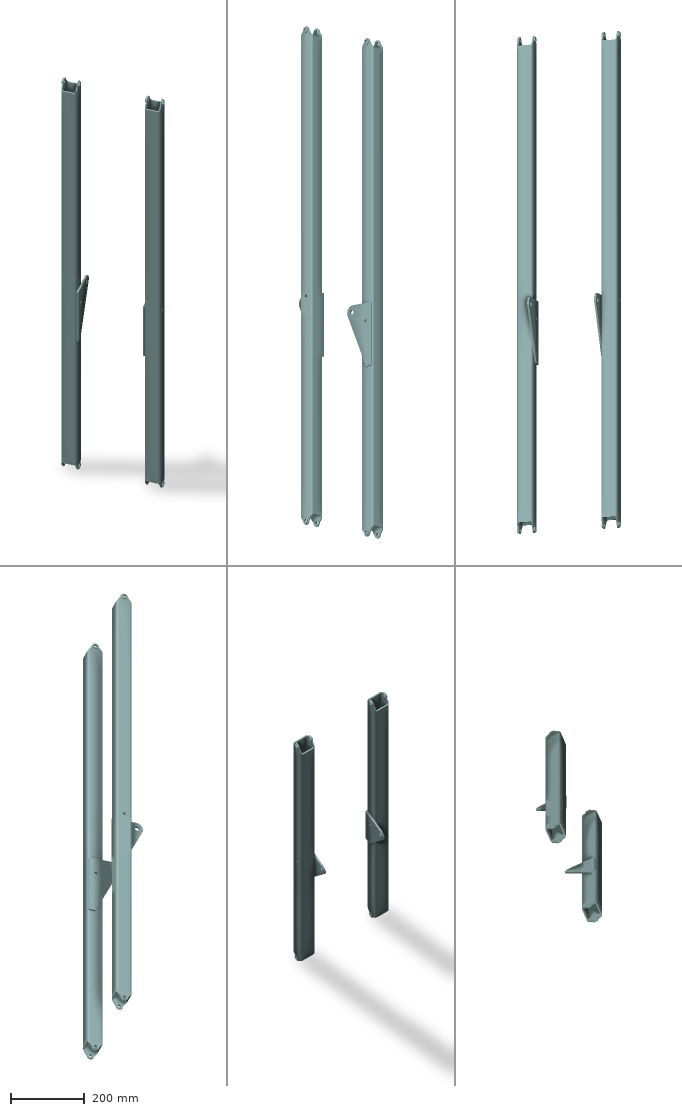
import cadquery as cq
overall_width = 289.0
overall_depth = 90.0
overall_length = 1370.0

bore_side = 37.0
wall = 3.7
corner_radius = 6.3
bore_radius = corner_radius - wall
tube_half = bore_side / 2 + wall

front_wall_length = 1315.0
ear_radius = 10.0
ear_hole_diameter = 8.9
boss_diameter = 15.0
boss_height = 3.0
ear_tip = overall_length / 2
ear_shoulder = front_wall_length / 2
ear_hole_z = ear_tip - ear_radius

post_x = overall_width / 2 - boss_height - tube_half

plate_thickness = 5.0
plate_top = -44.0
plate_bottom = -218.0
plate_front_setback = 2.0
plate_front = plate_front_setback - tube_half
plate_back = overall_depth - tube_half
plate_nose_bottom = -68.0
plate_slope_end = -1.0
plate_corner_radius = 19.0
plate_hole_diameter = 12.7
plate_hole_from_back = 16.0
plate_hole_from_top = 19.0

side_hole_diameter = 8.9
wall_hole_z = -56.0
plate_side_hole_z = -93.0


def x_cylinder(diameter, x_start, x_end, y, z):
    """Cylinder along X from x_start to x_end."""
    return (
        cq.Workplane("YZ", origin=(x_start, y, z))
        .circle(diameter / 2)
        .extrude(x_end - x_start)
    )


def rounded_bar(side, radius):
    """Full-length square bar along Z with rounded long edges."""
    bar = cq.Workplane("XY").rect(side, side).extrude(overall_length / 2, both=True)
    return bar.edges("|Z").fillet(radius)


def ear_outline():
    """Prism along X whose outline narrows at both ends to a rounded ear."""
    return (
        cq.Workplane("YZ")
        .moveTo(-tube_half, -ear_shoulder)
        .lineTo(-tube_half, ear_shoulder)
        .lineTo(-ear_radius, ear_hole_z)
        .threePointArc((0, ear_tip), (ear_radius, ear_hole_z))
        .lineTo(tube_half, ear_shoulder)
        .lineTo(tube_half, -ear_shoulder)
        .lineTo(ear_radius, -ear_hole_z)
        .threePointArc((0, -ear_tip), (-ear_radius, -ear_hole_z))
        .close()
        .extrude(tube_half, both=True)
    )


def eared_tube():
    """Square tube with a pair of bossed and drilled ears at each end."""
    tube = rounded_bar(2 * tube_half, corner_radius).cut(rounded_bar(bore_side, bore_radius))
    tube = tube.intersect(ear_outline())
    ear_height = ear_tip - ear_shoulder
    boss_face = tube_half + boss_height
    for end in (-1, 1):
        gap = cq.Workplane("XY").box(bore_side, 2 * tube_half, ear_height)
        tube = tube.cut(gap.translate((0, 0, end * (ear_shoulder + ear_height / 2))))
        for side in (-1, 1):
            boss = x_cylinder(
                boss_diameter, side * (tube_half - wall), side * boss_face, 0, end * ear_hole_z
            )
            tube = tube.union(boss)
        tube = tube.cut(x_cylinder(ear_hole_diameter, -boss_face, boss_face, 0, end * ear_hole_z))
    return tube


def gusset_plate():
    """Plate on the +X side wall, reaching out behind the tube."""
    plate_face = tube_half + plate_thickness
    plate = (
        cq.Workplane("YZ", origin=(tube_half, 0, 0))
        .moveTo(plate_front, plate_top)
        .lineTo(plate_back - plate_corner_radius, plate_top)
        .radiusArc((plate_back, plate_top - plate_corner_radius), plate_corner_radius)
        .lineTo(plate_back, plate_nose_bottom)
        .lineTo(plate_slope_end, plate_bottom)
        .lineTo(plate_front, plate_bottom)
        .close()
        .extrude(plate_thickness)
    )
    hole_y = plate_back - plate_hole_from_back
    hole_z = plate_top - plate_hole_from_top
    plate = plate.cut(x_cylinder(plate_hole_diameter, tube_half, plate_face, hole_y, hole_z))
    return plate.cut(x_cylinder(side_hole_diameter, tube_half, plate_face, 0, plate_side_hole_z))


def post():
    """One post on its tube axis, with the gusset plate facing +X."""
    wall_hole = x_cylinder(side_hole_diameter, -tube_half, wall - tube_half, 0, wall_hole_z)
    return eared_tube().cut(wall_hole).union(gusset_plate())


left_post = post().translate((-post_x, 0, 0))
right_post = left_post.mirror("YZ")

result = cq.Compound.makeCompound([left_post.val(), right_post.val()])